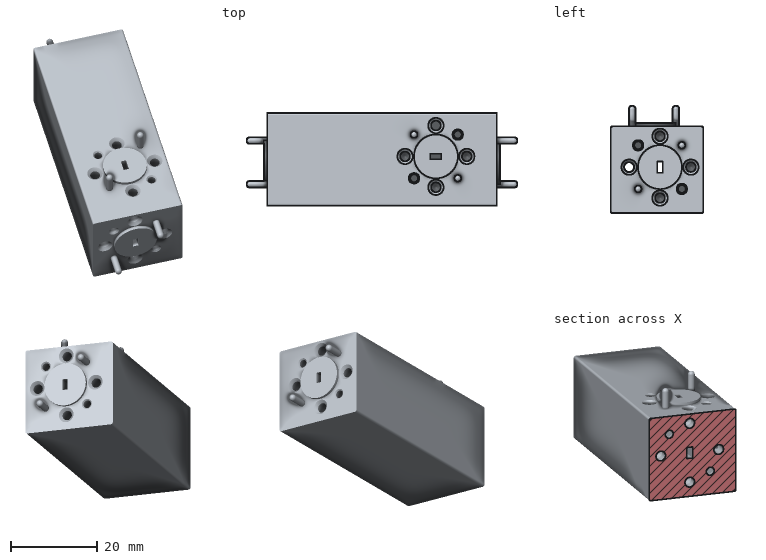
import cadquery as cq
import math


overall_length = 63.0
overall_height = 25.0
block_width = 21.6
pin_height = 4.8
edge_radius = 0.5

block_length = overall_length - 2 * pin_height
block_height = overall_height - pin_height

end_port_y = -0.7
end_port_drop = 9.5
end_port_z = block_height - end_port_drop
top_port_x = 12.55
top_port_y = 0.7

pattern_radius = 7.2
diagonal_offset = pattern_radius * math.sqrt(0.5)

boss_diameter = 10.2
boss_height = 0.75

pin_diameter = 1.6
pin_tip_radius = 0.75

screw_diameter = 2.25
screw_sink_diameter = 3.6
screw_depth = 5.05
drill_point_angle = 118.0
screw_point_depth = screw_diameter / 2 / math.tan(math.radians(drill_point_angle / 2))

guide_diameter = 1.8
guide_sink_diameter = 2.45
guide_depth = 3.8

slot_long = 2.6
slot_short = 1.25
top_slot_depth = 8.2

left_port = cq.Plane(origin=(-block_length / 2, end_port_y, end_port_z), xDir=(0, -1, 0), normal=(-1, 0, 0))
right_port = cq.Plane(origin=(block_length / 2, end_port_y, end_port_z), xDir=(0, 1, 0), normal=(1, 0, 0))
top_port = cq.Plane(origin=(top_port_x, top_port_y, block_height), xDir=(1, 0, 0), normal=(0, 0, 1))

upper_screw = (0, pattern_radius)
other_screws = [(pattern_radius, 0), (-pattern_radius, 0), (0, -pattern_radius)]
end_port_screws = [upper_screw] + other_screws

rising_diagonal = [(diagonal_offset, diagonal_offset), (-diagonal_offset, -diagonal_offset)]
falling_diagonal = [(-diagonal_offset, diagonal_offset), (diagonal_offset, -diagonal_offset)]


def make_block():
    """Block with its four long edges rounded."""
    block = cq.Workplane("XY").box(block_length, block_width, block_height, centered=(True, True, False))
    return block.edges("|X").fillet(edge_radius)


def make_boss_and_pins(plane, pin_points):
    """Round boss and two round-tipped alignment pins standing on a port plane."""
    boss = cq.Workplane(plane).circle(boss_diameter / 2).extrude(boss_height)
    pins = cq.Workplane(plane).pushPoints(pin_points).circle(pin_diameter / 2).extrude(pin_height)
    tip_faces = cq.DirectionMinMaxSelector(plane.zDir, True)
    pins = pins.faces(tip_faces).edges().fillet(pin_tip_radius)
    return boss, pins


def make_sunk_holes(plane, points, diameter, sink_diameter, depth, point_depth):
    """Blind holes with a 45 degree countersink; point_depth adds a conical floor when above zero."""
    hole_radius = diameter / 2
    sink_radius = sink_diameter / 2
    profile = cq.Workplane("XZ").moveTo(0, 0).lineTo(sink_radius, 0)
    profile = profile.lineTo(hole_radius, hole_radius - sink_radius).lineTo(hole_radius, -depth)
    profile = profile.lineTo(0, -depth - point_depth).close()
    cutter = profile.revolve(360, (0, 0, 0), (0, 1, 0)).val()
    return cq.Workplane(plane).pushPoints(points).eachpoint(cutter, useLocalCoordinates=True)


def make_screw_holes(plane, points, point_depth):
    """Countersunk blind screw holes."""
    return make_sunk_holes(plane, points, screw_diameter, screw_sink_diameter, screw_depth, point_depth)


def make_guide_holes(plane, points):
    """Countersunk flat-floored holes that receive the pins of the mating flange."""
    return make_sunk_holes(plane, points, guide_diameter, guide_sink_diameter, guide_depth, 0)


result = make_block()

port_layouts = [
    (left_port, end_port_screws, rising_diagonal, falling_diagonal),
    (right_port, end_port_screws, rising_diagonal, falling_diagonal),
    (top_port, other_screws, falling_diagonal, rising_diagonal),
]
for port, screw_points, pin_points, guide_points in port_layouts:
    boss, pins = make_boss_and_pins(port, pin_points)
    result = result.union(boss).union(pins)
    result = result.cut(make_screw_holes(port, screw_points, screw_point_depth))
    result = result.cut(make_guide_holes(port, guide_points))

result = result.cut(make_screw_holes(top_port, [upper_screw], 0))

through_bore = (
    cq.Workplane("YZ", origin=(-block_length / 2, end_port_y + pattern_radius, end_port_z))
    .circle(screw_diameter / 2)
    .extrude(block_length)
)
result = result.cut(through_bore)

channel_length = block_length + 2 * boss_height
channel = cq.Workplane("XY").box(channel_length, slot_short, slot_long)
result = result.cut(channel.translate((0, end_port_y, end_port_z)))

top_slot_profile = cq.Workplane(top_port).workplane(offset=boss_height).rect(slot_long, slot_short)
result = result.cut(top_slot_profile.extrude(-top_slot_depth))